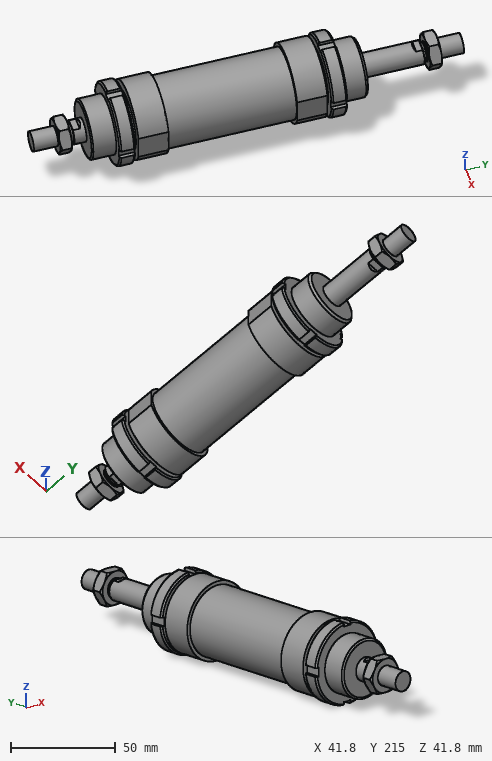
import cadquery as cq
import math

total_length = 215.0
front_y = -total_length / 2
rear_y = total_length / 2

rod_dia = 12.0
thread_dia = 10.0
relief_dia = 9.0
thread_length = 18.7
shoulder_depth = 20.0
flats_width = thread_dia
flats_end_depth = 23.5
flats_runout_angle = 45.0

nut_sides = 6
nut_across_flats = 17.0
nut_thickness = 6.0
nut_depth = 12.0
nut_chamfer_angle = 30.0

journal_dia = 30.0
cover_dia = 40.0
tube_dia = 36.1
cover_length = 15.0
journal_length = 22.0
port_flat_depth = 1.0
front_nose_depth = 26.0
rear_nose_depth = 50.7
front_nose_chamfer_length = 0.6
rear_nose_chamfer_length = 1.3
nose_chamfer_radial = 1.0

collar_dia = 42.0
collar_width = 8.0
front_collar_gap = 2.0
rear_collar_gap = 1.7
collar_chamfer = 0.9
slot_count = 4
slot_width = 4.5
slot_depth = 2.0

front_nose_y = front_y + front_nose_depth
rear_nose_y = rear_y - rear_nose_depth
front_cover_y = front_nose_y + journal_length
rear_cover_y = rear_nose_y - journal_length


def revolve_about_y(points):
    """Revolve a closed (radius, y) outline about the Y axis."""
    return cq.Workplane("XY").polyline(points).close().revolve(360, (0, 0, 0), (0, 1, 0))


def cylinder_along_y(diameter, y_start, length):
    """Cylinder on the Y axis that runs from y_start toward +Y."""
    base = cq.Workplane("XZ", origin=(0, y_start, 0))
    return base.circle(diameter / 2).extrude(-length)


def make_flat_cutter(end_y, inward, side):
    """Wedge that mills one wrench flat; inward is the Y direction into the rod, side is +Z or -Z."""
    cut_height = rod_dia / 2
    runout = cut_height / math.tan(math.radians(flats_runout_angle))
    flat_z = side * flats_width / 2
    top_z = flat_z + side * cut_height
    start_y = end_y + inward * shoulder_depth
    stop_y = end_y + inward * flats_end_depth
    outline = [
        (start_y, flat_z),
        (stop_y, flat_z),
        (stop_y + inward * runout, top_z),
        (start_y, top_z),
    ]
    return cq.Workplane("YZ").polyline(outline).close().extrude(rod_dia / 2, both=True)


def make_rod():
    """Through rod with a thread, a thread relief and two wrench flats at each end."""
    relief_length = (thread_dia - relief_dia) / 2
    outline = [
        (0, front_y),
        (thread_dia / 2, front_y),
        (thread_dia / 2, front_y + thread_length - relief_length),
        (relief_dia / 2, front_y + thread_length),
        (relief_dia / 2, front_y + shoulder_depth),
        (rod_dia / 2, front_y + shoulder_depth),
        (rod_dia / 2, rear_y - shoulder_depth),
        (relief_dia / 2, rear_y - shoulder_depth),
        (relief_dia / 2, rear_y - thread_length),
        (thread_dia / 2, rear_y - thread_length + relief_length),
        (thread_dia / 2, rear_y),
        (0, rear_y),
    ]
    rod = revolve_about_y(outline)
    for end_y, inward in ((front_y, 1), (rear_y, -1)):
        for side in (1, -1):
            rod = rod.cut(make_flat_cutter(end_y, inward, side))
    return rod


def make_port_flat_cutter(y_start):
    """Block that planes the flat on the +X side of one cover."""
    cutter = cq.Workplane("XY").box(cover_dia, cover_length, cover_dia, centered=(False, False, True))
    return cutter.translate((cover_dia / 2 - port_flat_depth, y_start, 0))


def make_cylinder_body():
    """Tube, covers and chamfered journals as one solid, bored through for the rod."""
    journal_radius = journal_dia / 2
    nose_face_radius = journal_radius - nose_chamfer_radial
    bore_radius = rod_dia / 2
    outline = [
        (bore_radius, front_nose_y),
        (nose_face_radius, front_nose_y),
        (journal_radius, front_nose_y + front_nose_chamfer_length),
        (journal_radius, front_cover_y),
        (cover_dia / 2, front_cover_y),
        (cover_dia / 2, front_cover_y + cover_length),
        (tube_dia / 2, front_cover_y + cover_length),
        (tube_dia / 2, rear_cover_y - cover_length),
        (cover_dia / 2, rear_cover_y - cover_length),
        (cover_dia / 2, rear_cover_y),
        (journal_radius, rear_cover_y),
        (journal_radius, rear_nose_y - rear_nose_chamfer_length),
        (nose_face_radius, rear_nose_y),
        (bore_radius, rear_nose_y),
    ]
    body = revolve_about_y(outline)
    for y_start in (front_cover_y, rear_cover_y - cover_length):
        body = body.cut(make_port_flat_cutter(y_start))
    return body


def make_collar_nut(y_start):
    """Round nut with chamfered rims and equally spaced spanner slots."""
    collar = cylinder_along_y(collar_dia, y_start, collar_width).edges().chamfer(collar_chamfer)
    collar = collar.cut(cylinder_along_y(journal_dia, y_start, collar_width))
    slot_floor = collar_dia / 2 - slot_depth
    slot = (
        cq.Workplane("XY")
        .box(slot_width, collar_width, 2 * slot_depth, centered=(True, False, False))
        .translate((0, y_start, slot_floor))
    )
    for index in range(slot_count):
        collar = collar.cut(slot.rotate((0, 0, 0), (0, 1, 0), index * 360 / slot_count))
    return collar


def make_hex_nut(y_start):
    """Hex nut with corners along X, bevelled on both faces and bored for the rod thread."""
    across_corners = nut_across_flats / math.cos(math.pi / nut_sides)
    bevel = (across_corners - nut_across_flats) / 2 * math.tan(math.radians(nut_chamfer_angle))
    y_end = y_start + nut_thickness
    hexagon = (
        cq.Workplane("XZ", origin=(0, y_start, 0))
        .polygon(nut_sides, across_corners)
        .extrude(-nut_thickness)
    )
    bevel_outline = [
        (thread_dia / 2, y_start),
        (nut_across_flats / 2, y_start),
        (across_corners / 2, y_start + bevel),
        (across_corners / 2, y_end - bevel),
        (nut_across_flats / 2, y_end),
        (thread_dia / 2, y_end),
    ]
    return hexagon.intersect(revolve_about_y(bevel_outline))


rod = make_rod()
cylinder_body = make_cylinder_body()

collar_starts = (front_cover_y - front_collar_gap - collar_width, rear_cover_y + rear_collar_gap)
collar_nuts = [make_collar_nut(y_start).val() for y_start in collar_starts]

hex_nut_starts = (front_y + nut_depth, rear_y - nut_depth - nut_thickness)
hex_nuts = [make_hex_nut(y_start).val() for y_start in hex_nut_starts]

result = cq.Compound.makeCompound([rod.val(), cylinder_body.val(), *collar_nuts, *hex_nuts])